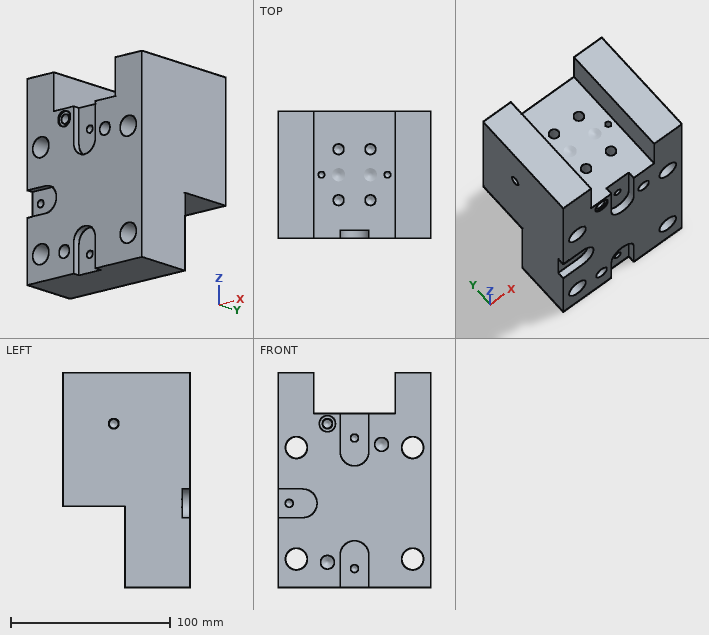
import math

import cadquery as cq

WIDTH = 96.0
DEPTH = 80.0
HEIGHT = 135.0

FOOT_DEPTH = 41.0
FOOT_HEIGHT = 51.0

CHANNEL_WIDTH = 51.0
CHANNEL_DEPTH = 25.5
CHANNEL_FLOOR = HEIGHT - CHANNEL_DEPTH

POCKET_DEPTH = 5.0
POCKET_WIDTH = 18.0
POCKET_RADIUS = POCKET_WIDTH / 2
UPPER_POCKET_END = 76.5
LOWER_POCKET_END = 29.5
SIDE_POCKET_LENGTH = 24.5
SIDE_POCKET_Z = 53.0
POCKET_HOLE_DIAMETER = 4.93
POCKET_HOLE_DEPTH = 12.0
UPPER_POCKET_HOLE_Z = 94.0
LOWER_POCKET_HOLE_Z = 12.0
SIDE_POCKET_HOLE_INSET = 7.0

MOUNT_DIAMETER = 13.49
MOUNT_SPACING = 73.0
MOUNT_LOWER_Z = 18.0
MOUNT_UPPER_Z = 88.0

DOWEL_DIAMETER = 8.61
DOWEL_DEPTH = 16.0
FRONT_DOWELS = [(17.0, 90.0), (-17.0, 16.0)]

PORT_X = -17.0
PORT_Z = 103.0
PORT_DIAMETER = 5.94
PORT_DEPTH = 20.0
PORT_ENTRY_DIAMETER = 6.25
PORT_ENTRY_DEPTH = 12.0
PORT_SEAT_DIAMETER = 10.16
PORT_SEAT_DEPTH = 1.0

FLOOR_CENTRE_Y = 40.0
FLOOR_COLUMN_SPACING = 20.0
FLOOR_ROW_OFFSET = 16.0
FLOOR_SCREW_DIAMETER = 6.66
FLOOR_SCREW_DEPTH = 18.0
PIN_SPACING = 41.5
PIN_DIAMETER = 3.96
PIN_DEPTH = 10.0
DIMPLE_DIAMETER = 8.3
DIMPLE_ANGLE = 145.0

SIDE_HOLE_DIAMETER = 5.94
SIDE_HOLE_DEPTH = 15.0
SIDE_ENTRY_DIAMETER = 6.4
SIDE_ENTRY_DEPTH = 10.0
SIDE_HOLE_Y = 48.0
SIDE_HOLE_Z = 103.0

DRILL_POINT_ANGLE = 118.0

INTO_FRONT = cq.Vector(0, 1, 0)
INTO_FLOOR = cq.Vector(0, 0, -1)
INTO_LEFT = cq.Vector(1, 0, 0)


def conical_point(start, direction, diameter, included_angle):
    """Cone narrowing from the given diameter to a tip."""
    radius = diameter / 2
    length = radius / math.tan(math.radians(included_angle / 2))
    return cq.Solid.makeCone(radius, 0, length, start, direction)


def bore(mouth, direction, diameter, depth):
    """Cutter for a flat-ended cylinder starting at the mouth."""
    return cq.Solid.makeCylinder(diameter / 2, depth, cq.Vector(*mouth), direction)


def drilled_hole(mouth, direction, diameter, depth):
    """Cutter for a blind hole: a cylinder of the given depth with a conical point."""
    point_start = cq.Vector(*mouth) + direction * depth
    point = conical_point(point_start, direction, diameter, DRILL_POINT_ANGLE)
    return bore(mouth, direction, diameter, depth).fuse(point)


def base_block():
    """L-shaped side profile, with the channel cut through the top."""
    profile = [
        (0, 0),
        (FOOT_DEPTH, 0),
        (FOOT_DEPTH, FOOT_HEIGHT),
        (DEPTH, FOOT_HEIGHT),
        (DEPTH, HEIGHT),
        (0, HEIGHT),
    ]
    block = cq.Workplane("YZ").polyline(profile).close().extrude(WIDTH / 2, both=True)
    channel = cq.Workplane("XY").box(
        CHANNEL_WIDTH, DEPTH, CHANNEL_DEPTH, centered=(True, False, False)
    )
    return block.cut(channel.translate((0, 0, CHANNEL_FLOOR)))


def front_pocket(edge, rounded_end):
    """Pocket cutter from a point (X, Z) on the block edge to the tip of its rounded end."""
    edge_x, edge_z = edge
    end_x, end_z = rounded_end
    length = math.hypot(end_x - edge_x, end_z - edge_z)
    angle = math.degrees(math.atan2(end_z - edge_z, end_x - edge_x))
    straight = length - POCKET_RADIUS
    cutter = (
        cq.Workplane("XZ")
        .moveTo(0, -POCKET_RADIUS)
        .lineTo(straight, -POCKET_RADIUS)
        .threePointArc((length, 0), (straight, POCKET_RADIUS))
        .lineTo(0, POCKET_RADIUS)
        .close()
        .extrude(-POCKET_DEPTH)
    )
    turned = cutter.rotate((0, 0, 0), (0, -1, 0), angle)
    return turned.translate((edge_x, 0, edge_z))


def cut_pockets(body):
    side_edge = -WIDTH / 2
    body = body.cut(front_pocket((0, CHANNEL_FLOOR), (0, UPPER_POCKET_END)))
    body = body.cut(front_pocket((0, 0), (0, LOWER_POCKET_END)))
    side_tip = (side_edge + SIDE_POCKET_LENGTH, SIDE_POCKET_Z)
    body = body.cut(front_pocket((side_edge, SIDE_POCKET_Z), side_tip))
    pocket_holes = [
        (0, UPPER_POCKET_HOLE_Z),
        (0, LOWER_POCKET_HOLE_Z),
        (side_edge + SIDE_POCKET_HOLE_INSET, SIDE_POCKET_Z),
    ]
    for x, z in pocket_holes:
        mouth = (x, POCKET_DEPTH, z)
        body = body.cut(drilled_hole(mouth, INTO_FRONT, POCKET_HOLE_DIAMETER, POCKET_HOLE_DEPTH))
    return body


def cut_front_holes(body):
    for x in (-MOUNT_SPACING / 2, MOUNT_SPACING / 2):
        for z in (MOUNT_LOWER_Z, MOUNT_UPPER_Z):
            body = body.cut(bore((x, 0, z), INTO_FRONT, MOUNT_DIAMETER, DEPTH))
    for x, z in FRONT_DOWELS:
        body = body.cut(drilled_hole((x, 0, z), INTO_FRONT, DOWEL_DIAMETER, DOWEL_DEPTH))
    return body


def cut_port(body):
    mouth = (PORT_X, 0, PORT_Z)
    body = body.cut(bore(mouth, INTO_FRONT, PORT_SEAT_DIAMETER, PORT_SEAT_DEPTH))
    body = body.cut(bore(mouth, INTO_FRONT, PORT_ENTRY_DIAMETER, PORT_ENTRY_DEPTH))
    return body.cut(drilled_hole(mouth, INTO_FRONT, PORT_DIAMETER, PORT_DEPTH))


def cut_floor_holes(body):
    for side in (-1, 1):
        x = side * FLOOR_COLUMN_SPACING / 2
        for row in (-1, 1):
            screw = (x, FLOOR_CENTRE_Y + row * FLOOR_ROW_OFFSET, CHANNEL_FLOOR)
            body = body.cut(drilled_hole(screw, INTO_FLOOR, FLOOR_SCREW_DIAMETER, FLOOR_SCREW_DEPTH))
        dimple = cq.Vector(x, FLOOR_CENTRE_Y, CHANNEL_FLOOR)
        body = body.cut(conical_point(dimple, INTO_FLOOR, DIMPLE_DIAMETER, DIMPLE_ANGLE))
        pin = (side * PIN_SPACING / 2, FLOOR_CENTRE_Y, CHANNEL_FLOOR)
        body = body.cut(drilled_hole(pin, INTO_FLOOR, PIN_DIAMETER, PIN_DEPTH))
    return body


def cut_side_hole(body):
    mouth = (-WIDTH / 2, SIDE_HOLE_Y, SIDE_HOLE_Z)
    body = body.cut(bore(mouth, INTO_LEFT, SIDE_ENTRY_DIAMETER, SIDE_ENTRY_DEPTH))
    return body.cut(drilled_hole(mouth, INTO_LEFT, SIDE_HOLE_DIAMETER, SIDE_HOLE_DEPTH))


result = base_block()
result = cut_pockets(result)
result = cut_front_holes(result)
result = cut_port(result)
result = cut_floor_holes(result)
result = cut_side_hole(result)